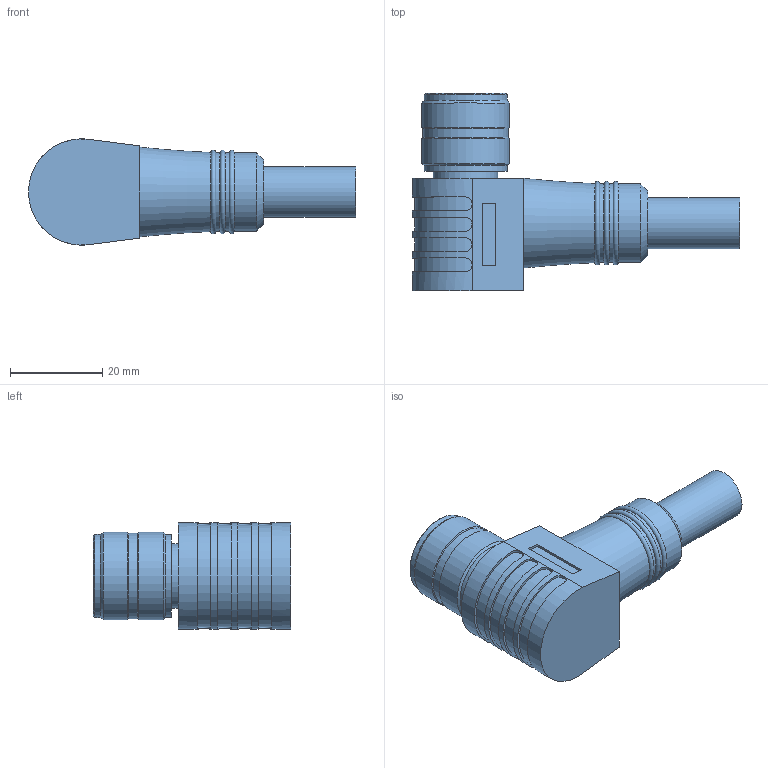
import cadquery as cq
import math


NOSE_RADIUS = 11.5
HOUSING_END_X = 12.6
HOUSING_END_HALF_HEIGHT = 10.0
HOUSING_TOP_Y = 9.7
HOUSING_LENGTH = 24.3
HOUSING_MID_Y = HOUSING_TOP_Y - HOUSING_LENGTH / 2

GROOVE_COUNT = 4
GROOVE_PITCH = 4.4
GROOVE_WIDTH = 3.0
GROOVE_DEPTH = 0.5
GROOVE_TIP_X = 1.4

RECESS_CENTRE_X = 5.15
RECESS_WIDTH = 2.8
RECESS_LENGTH = 13.5
RECESS_DEPTH = 0.5

NECK_RADIUS = 7.0
NECK_LENGTH = 1.5
RIM_RADIUS = 9.0
REAR_RIM_LENGTH = 1.3
NUT_RADIUS = 9.5
NUT_GROOVE_RADIUS = 9.25
NUT_REAR_CONE = 0.4
NUT_FRONT_CONE = 0.6
NUT_REAR_BAND_LENGTH = 5.5
NUT_FRONT_BAND_LENGTH = 5.35
NUT_GROOVE_WIDTH = 2.25
NUT_GROOVE_CHAMFER = 0.15
FRONT_RIM_LENGTH = 1.5
TIP_CHAMFER = 0.25

GRIP_ROOT_RADIUS = 9.7
GRIP_RADIUS = 8.5
GRIP_SAG = 0.12
GRIP_CONE_END_X = 29.0
GRIP_END_X = 39.4
GRIP_CHAMFER = 1.5
RING_WIRE_RADIUS = 0.55
RING_COUNT = 3
RING_PITCH = 2.0
FIRST_RING_X = 28.5
CABLE_RADIUS = 5.5
CABLE_END_X = 59.3

END_DISTANCE = math.hypot(HOUSING_END_X, HOUSING_END_HALF_HEIGHT)
TANGENT_ANGLE = math.atan2(HOUSING_END_HALF_HEIGHT, HOUSING_END_X) + math.acos(NOSE_RADIUS / END_DISTANCE)
FLANK_SLOPE_DEG = 90 - math.degrees(TANGENT_ANGLE)


def make_housing():
    tangent_x = NOSE_RADIUS * math.cos(TANGENT_ANGLE)
    tangent_z = NOSE_RADIUS * math.sin(TANGENT_ANGLE)
    return (
        cq.Workplane("XZ", origin=(0, HOUSING_TOP_Y, 0))
        .moveTo(HOUSING_END_X, -HOUSING_END_HALF_HEIGHT)
        .lineTo(HOUSING_END_X, HOUSING_END_HALF_HEIGHT)
        .lineTo(tangent_x, tangent_z)
        .threePointArc((-NOSE_RADIUS, 0), (tangent_x, -tangent_z))
        .close()
        .extrude(HOUSING_LENGTH)
    )


def make_finger_grooves():
    """Round-ended slots that stop at a cylinder slightly smaller than the nose."""
    slot_length = 2 * (NOSE_RADIUS + GROOVE_TIP_X)
    slot_centres = [
        (GROOVE_TIP_X - slot_length / 2, HOUSING_MID_Y + (i - (GROOVE_COUNT - 1) / 2) * GROOVE_PITCH)
        for i in range(GROOVE_COUNT)
    ]
    slots = (
        cq.Workplane("XY")
        .pushPoints(slot_centres)
        .slot2D(slot_length, GROOVE_WIDTH)
        .extrude(2 * NOSE_RADIUS, both=True)
    )
    floor_core = (
        cq.Workplane("XZ", origin=(0, HOUSING_TOP_Y, 0))
        .circle(NOSE_RADIUS - GROOVE_DEPTH)
        .extrude(HOUSING_LENGTH)
    )
    return slots.cut(floor_core)


def make_label_recess():
    """Rectangular pocket whose floor is parallel to the upper flank."""
    slope = math.radians(FLANK_SLOPE_DEG)
    surface_z = HOUSING_END_HALF_HEIGHT + (HOUSING_END_X - RECESS_CENTRE_X) * math.tan(slope)
    return (
        cq.Workplane("XY")
        .box(RECESS_WIDTH, RECESS_LENGTH, 2 * RECESS_DEPTH)
        .rotate((0, 0, 0), (0, 1, 0), FLANK_SLOPE_DEG)
        .translate((RECESS_CENTRE_X, HOUSING_MID_Y, surface_z))
    )


def make_coupling():
    """Neck, rims and grooved nut, turned about the mating axis and rooted inside the housing."""
    rear_rim_y = HOUSING_TOP_Y + NECK_LENGTH
    rear_cone_y = rear_rim_y + REAR_RIM_LENGTH
    rear_band_y = rear_cone_y + NUT_REAR_CONE
    groove_start_y = rear_band_y + NUT_REAR_BAND_LENGTH
    groove_end_y = groove_start_y + NUT_GROOVE_WIDTH
    front_cone_y = groove_end_y + NUT_FRONT_BAND_LENGTH
    front_rim_y = front_cone_y + NUT_FRONT_CONE
    tip_y = front_rim_y + FRONT_RIM_LENGTH
    profile = [
        (0, HOUSING_MID_Y),
        (NECK_RADIUS, HOUSING_MID_Y),
        (NECK_RADIUS, rear_rim_y),
        (RIM_RADIUS, rear_rim_y),
        (RIM_RADIUS, rear_cone_y),
        (NUT_RADIUS, rear_band_y),
        (NUT_RADIUS, groove_start_y),
        (NUT_GROOVE_RADIUS, groove_start_y + NUT_GROOVE_CHAMFER),
        (NUT_GROOVE_RADIUS, groove_end_y - NUT_GROOVE_CHAMFER),
        (NUT_RADIUS, groove_end_y),
        (NUT_RADIUS, front_cone_y),
        (RIM_RADIUS, front_rim_y),
        (RIM_RADIUS, tip_y - TIP_CHAMFER),
        (RIM_RADIUS - TIP_CHAMFER, tip_y),
        (0, tip_y),
    ]
    return cq.Workplane("XY").polyline(profile).close().revolve(360, (0, 0, 0), (0, 1, 0))


def make_grip():
    """Strain relief that narrows in a shallow arc to a cylinder with a chamfered end."""
    cone_mid_x = (HOUSING_END_X + GRIP_CONE_END_X) / 2
    cone_mid_radius = (GRIP_ROOT_RADIUS + GRIP_RADIUS) / 2 - GRIP_SAG
    return (
        cq.Workplane("XY")
        .moveTo(HOUSING_END_X, 0)
        .lineTo(HOUSING_END_X, GRIP_ROOT_RADIUS)
        .threePointArc((cone_mid_x, cone_mid_radius), (GRIP_CONE_END_X, GRIP_RADIUS))
        .lineTo(GRIP_END_X - GRIP_CHAMFER, GRIP_RADIUS)
        .lineTo(GRIP_END_X, GRIP_RADIUS - GRIP_CHAMFER)
        .lineTo(GRIP_END_X, 0)
        .close()
        .revolve(360, (0, 0, 0), (1, 0, 0))
    )


def make_grip_ring(x):
    """Raised round ring whose wire is centred on the grip surface."""
    return (
        cq.Workplane("XY")
        .center(x, GRIP_RADIUS)
        .circle(RING_WIRE_RADIUS)
        .revolve(360, (0, -GRIP_RADIUS, 0), (1, -GRIP_RADIUS, 0))
    )


def make_cable():
    return cq.Workplane("YZ").circle(CABLE_RADIUS).extrude(CABLE_END_X)


result = make_housing().cut(make_finger_grooves()).cut(make_label_recess())
result = result.union(make_coupling()).union(make_grip()).union(make_cable())
for ring_index in range(RING_COUNT):
    result = result.union(make_grip_ring(FIRST_RING_X + ring_index * RING_PITCH))